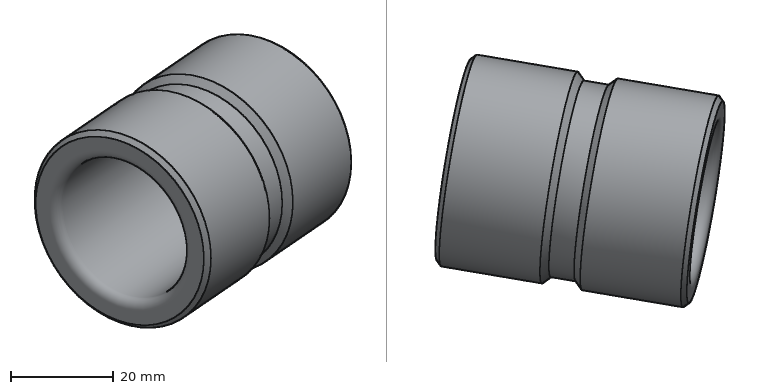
import cadquery as cq

length = 50.0
outer_radius = 21.0
bore_radius = 15.0
end_chamfer = 1.0
bore_rounding = 2.0
groove_floor_width = 5.0
groove_depth = 1.5

half_length = length / 2
half_floor = groove_floor_width / 2
half_mouth = half_floor + groove_depth


def make_sleeve():
    """Plain tube with chamfered outer edges and rounded bore mouths."""
    cylinder = cq.Workplane("XZ").circle(outer_radius).extrude(half_length, both=True)
    cylinder = cylinder.faces("<Y or >Y").edges().chamfer(end_chamfer)
    bore = cq.Workplane("XZ").circle(bore_radius).extrude(half_length, both=True)
    bore_edges = cq.selectors.RadiusNthSelector(0)
    return cylinder.cut(bore).faces("<Y or >Y").edges(bore_edges).fillet(bore_rounding)


def make_groove():
    """Ring that removes the trapezoidal groove around the middle."""
    floor_radius = outer_radius - groove_depth
    return (
        cq.Workplane("XY")
        .moveTo(outer_radius, -half_mouth)
        .lineTo(floor_radius, -half_floor)
        .lineTo(floor_radius, half_floor)
        .lineTo(outer_radius, half_mouth)
        .close()
        .revolve(360, (0, 0, 0), (0, 1, 0))
    )


result = make_sleeve().cut(make_groove())